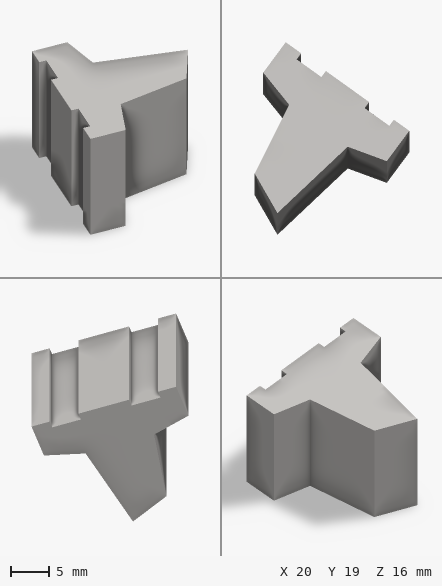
import cadquery as cq

base_width = 20.0
side_depth = 5.0
part_height = 16.0

shoulder_inset = 5.25
shoulder_y = 6.45

tip_left_offset = 7.5
tip_width = 5.5
tip_left_y = 19.0
tip_drop = 2.5

groove_inset = 2.5
groove_width = 4.0
groove_depth = 1.0

half_width = base_width / 2
root_half_width = half_width - shoulder_inset
tip_left_x = tip_left_offset - half_width
tip_right_x = tip_left_x + tip_width
tip_right_y = tip_left_y - tip_drop


def make_body():
    """Extrude the base, shoulder and blade outline along Z."""
    outline = [
        (-half_width, 0),
        (half_width, 0),
        (half_width, side_depth),
        (root_half_width, shoulder_y),
        (tip_right_x, tip_right_y),
        (tip_left_x, tip_left_y),
        (-root_half_width, shoulder_y),
        (-half_width, side_depth),
    ]
    return cq.Workplane("XY").polyline(outline).close().extrude(part_height)


def make_grooves():
    """Return both groove cutters, mirrored about the middle of the base."""
    groove_centre_x = half_width - groove_inset - groove_width / 2
    return (
        cq.Workplane("XY")
        .pushPoints([(side * groove_centre_x, 0) for side in (-1, 1)])
        .rect(groove_width, 2 * groove_depth)
        .extrude(part_height)
    )


result = make_body().cut(make_grooves())